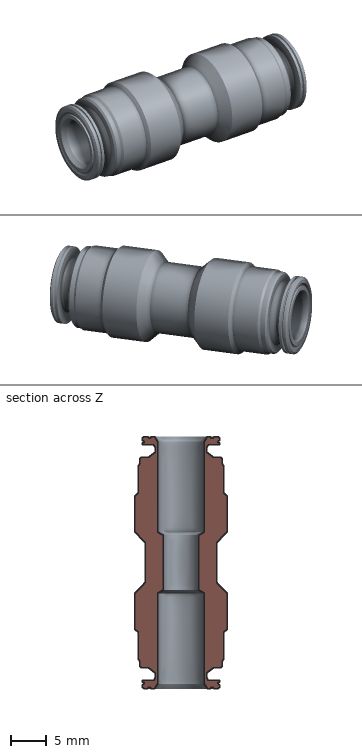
import cadquery as cq

length = 35.3
half_length = length / 2

flange_radius = 5.47
flange_face_radius = 5.15
flange_groove_radius = 5.15
neck_radius = 3.67
neck_root_radius = 3.85
cone_radius = 4.55
collar_radius = 5.8
sleeve_radius = 6.0
body_radius = 6.5
waist_radius = 5.05

flange_chamfer_depth = 0.2
flange_bevel_start = 0.55
flange_groove_start = 0.75
flange_groove_end = 0.85
flange_end = 1.2
neck_root_end = 1.52
neck_end = 2.22
collar_start = 2.9
collar_end = 3.8
sleeve_start = 4.13
sleeve_end = 7.87
body_start = 8.33
body_end = 13.35
waist_start = 14.85

collar_chamfer = 0.25

bore_radius = 2.47
tube_radius = 3.25
mouth_radius = 3.67
mouth_depth = 0.7
tube_stop_start = 13.35
tube_stop_end = 13.8
face_groove_inner_radius = 4.25
face_groove_floor_radius = 4.45
face_groove_outer_radius = 4.65
face_groove_depth = 0.2


def half_profile():
    """Radius and distance from the end face, for one half of the coupling."""
    return [
        (bore_radius, tube_stop_end),
        (tube_radius, tube_stop_start),
        (tube_radius, mouth_depth),
        (mouth_radius, 0),
        (face_groove_inner_radius, 0),
        (face_groove_inner_radius, face_groove_depth),
        (face_groove_floor_radius, face_groove_depth),
        (face_groove_outer_radius, 0),
        (flange_face_radius, 0),
        (flange_radius, flange_chamfer_depth),
        (flange_radius, flange_bevel_start),
        (flange_groove_radius, flange_groove_start),
        (flange_groove_radius, flange_groove_end),
        (flange_radius, flange_groove_end),
        (flange_radius, flange_end),
        (neck_root_radius, flange_end),
        (neck_radius, neck_root_end),
        (neck_radius, neck_end),
        (cone_radius, collar_start),
        (collar_radius - collar_chamfer, collar_start),
        (collar_radius, collar_start + collar_chamfer),
        (collar_radius, collar_end),
        (sleeve_radius, sleeve_start),
        (sleeve_radius, sleeve_end),
        (body_radius, body_start),
        (body_radius, body_end),
        (waist_radius, waist_start),
    ]


def coupling():
    """Revolve the half profile and its mirror image about the Y axis."""
    near_side = [(radius, distance - half_length) for radius, distance in half_profile()]
    far_side = [(radius, -y) for radius, y in reversed(near_side)]
    outline = cq.Workplane("XY").polyline(near_side + far_side).close()
    return outline.revolve(360, (0, 0, 0), (0, 1, 0))


result = coupling()